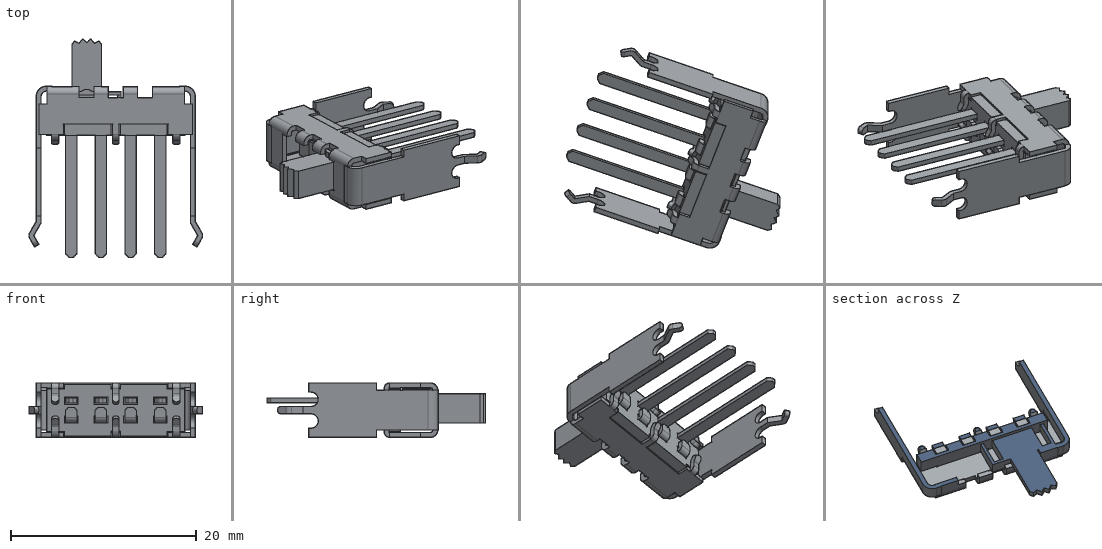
import math

import cadquery as cq


SHEET = 0.55
FRAME_HEIGHT = 5.89
FRAME_TOP = FRAME_HEIGHT / 2
COVER_UNDERSIDE = FRAME_TOP - SHEET
COVER_FRONT = -0.05
COVER_INNER_FRONT = COVER_FRONT - SHEET
COVER_BEND_RADIUS = 0.82
COVER_WIDTH = 14.86
COVER_REAR = -5.24
WING_WIDTH = 16.54
WING_FRONT = -1.91

TIP_ROUNDING = 0.49

NOTCH_WIDTH = 1.58
NOTCH_PITCH = 2 * NOTCH_WIDTH
NOTCH_DEPTH = 1.24
KNOB_CLEARANCE = 0.1

WINDOW_INNER_X = 0.33
WINDOW_OUTER_X = 5.65
WINDOW_FRONT = -4.09
PAD_INNER_X = 0.5
PAD_OUTER_X = 5.53
PAD_TOP = 2.76

ARM_SPAN = 17.18
ARM_BEND_RADIUS = 1.13
ARM_NECK_HEIGHT = 4.32
ARM_WIDE_START = -6.66
ARM_END = -13.98
ARM_NOTCH_DIAMETER = 1.52
ARM_NOTCH_DEPTH = 1.02

SPRING_SPAN = 18.74
SPRING_WIDTH = 0.82
SPRING_BEND_START = -14.6
SPRING_ANGLE = math.radians(30)
SPRING_BEND_RADIUS = 0.61
SPRING_RETURN_LENGTH = 1.42

TAB_CENTRE_WIDTH = 0.72
TAB_SIDE_WIDTH = 0.8
TAB_SIDE_X = 6.53
TAB_BEND_RADIUS = 0.6
TAB_KINK_Z = 1.69
TAB_FLARE_ANGLE = math.radians(30)
TAB_FLARE_LENGTH = 0.93
TAB_KINK_ROUNDING = 0.08

HOUSING_WIDTH = 14.92
HOUSING_HEIGHT = 4.6
HOUSING_FRONT = WINDOW_FRONT
HOUSING_REAR = -5.31
POCKET_WIDTH = 1.49
POCKET_HEIGHT = 0.78
POCKET_Z = 1.02
POCKET_DEPTH = 0.8

PIN_PITCH = 3.2
PIN_COUNT = 4
PIN_WIDTH = 1.25
PIN_BOTTOM = 0.79
PIN_TOP = 1.33
PIN_END = -18.48
PIN_CHAMFER = 0.42
PIN_TIP_FILLET = 0.1
TAIL_THICKNESS = 0.55
TAIL_BOTTOM = -1.38
TAIL_TOP = 0.26
TAIL_BEND_RADIUS = 0.6
TAIL_CHAMFER = 0.28

KNOB_X = -3.13
KNOB_Z = 0.2
KNOB_WIDTH = 3.2
KNOB_HEIGHT = 3.18
KNOB_TIP = 5.1
KNOB_SHOULDER = 4.5
TOOTH_OUTER_TIP_X = 1.31
TOOTH_OUTER_TIP_Y = 4.88
TOOTH_OUTER_ROOT_X = 0.84
TOOTH_OUTER_ROOT_Y = 4.62
TOOTH_TIP_X = 0.42
TOOTH_MIDDLE_ROOT_Y = 4.69
FLANGE_WIDTH = 7.44
FLANGE_REAR = -0.97
FLANGE_CLEARANCE = 0.03
FLANGE_TOP = COVER_UNDERSIDE - FLANGE_CLEARANCE
BODY_STEP = 0.05
SLIDER_BODY_WIDTH = 4.66
SLIDER_BODY_REAR = -3.85
SLIDER_LEG_WIDTH = 0.39
BUMP_WIDTH = 1.22
BUMP_FLAT = 0.45
BUMP_FRONT = -0.37


def block(x_min, x_max, y_min, y_max, z_min, z_max):
    """Axis-aligned box given by its limits."""
    size = (x_max - x_min, y_max - y_min, z_max - z_min)
    return cq.Workplane("XY").box(*size, centered=False).translate((x_min, y_min, z_min))


def wide_block(width, y_min, y_max, z_min, z_max):
    """Box centred on X = 0."""
    return block(-width / 2, width / 2, y_min, y_max, z_min, z_max)


def mirrored(body, plane):
    """Body together with its mirror image."""
    return body.union(body.mirror(plane))


def make_cover():
    """C-shaped cover: front plate bent into a top and a bottom plate."""
    outer = wide_block(COVER_WIDTH, COVER_REAR, COVER_FRONT, -FRAME_TOP, FRAME_TOP)
    outer = outer.edges("|X and >Y").fillet(COVER_BEND_RADIUS)
    inner = wide_block(COVER_WIDTH, COVER_REAR, COVER_INNER_FRONT, -COVER_UNDERSIDE, COVER_UNDERSIDE)
    inner = inner.edges("|X and >Y").fillet(COVER_BEND_RADIUS - SHEET)
    wing = wide_block(WING_WIDTH, COVER_REAR, WING_FRONT, COVER_UNDERSIDE, FRAME_TOP)
    return outer.cut(inner).union(mirrored(wing, "XY"))


def make_arm():
    """Right-hand arm: bent from the front plate, widened, and notched beside the spring leg."""
    outer_x = ARM_SPAN / 2
    neck_z = ARM_NECK_HEIGHT / 2
    corner_x = COVER_WIDTH / 2 - SHEET
    outer = block(corner_x, outer_x, ARM_WIDE_START, 0, -neck_z, neck_z)
    outer = outer.edges("|Z and >X and >Y").fillet(ARM_BEND_RADIUS)
    inner = block(corner_x, outer_x - SHEET, ARM_WIDE_START, -SHEET, -neck_z, neck_z)
    inner = inner.edges("|Z and >X and >Y").fillet(ARM_BEND_RADIUS - SHEET)
    plate = block(outer_x - SHEET, outer_x, ARM_END, ARM_WIDE_START, -FRAME_TOP, FRAME_TOP)

    notch_radius = ARM_NOTCH_DIAMETER / 2
    notch_z = SPRING_WIDTH / 2 + notch_radius
    notch_y = ARM_END + ARM_NOTCH_DEPTH - notch_radius
    notch = (
        cq.Workplane("YZ", origin=(corner_x, 0, 0))
        .center(notch_y, notch_z)
        .circle(notch_radius)
        .extrude(outer_x - corner_x)
    )
    notch = notch.union(
        block(corner_x, outer_x, ARM_END, notch_y, notch_z - notch_radius, notch_z + notch_radius)
    )
    return outer.cut(inner).union(plate).cut(mirrored(notch, "XY"))


def make_spring():
    """Right-hand spring leg: flares outward, turns back around a rounded apex, has a round tip."""
    sine = math.sin(SPRING_ANGLE)
    cosine = math.cos(SPRING_ANGLE)
    outer_x = ARM_SPAN / 2
    inner_x = outer_x - SHEET
    peak_x = SPRING_SPAN / 2
    vertex_x = peak_x + SPRING_BEND_RADIUS * (1 / cosine - 1)
    vertex_y = SPRING_BEND_START - (vertex_x - outer_x) / math.tan(SPRING_ANGLE)
    arc_x = peak_x - SPRING_BEND_RADIUS * (1 - cosine)
    arc_half = SPRING_BEND_RADIUS * sine
    tip_x = vertex_x - SPRING_RETURN_LENGTH * sine
    tip_y = vertex_y - SPRING_RETURN_LENGTH * cosine
    inner_bend_y = SPRING_BEND_START - SHEET * math.tan(SPRING_ANGLE / 2)
    leg = (
        cq.Workplane("XY", origin=(0, 0, -SPRING_WIDTH / 2))
        .moveTo(inner_x, ARM_END)
        .lineTo(outer_x, ARM_END)
        .lineTo(outer_x, SPRING_BEND_START)
        .lineTo(arc_x, vertex_y + arc_half)
        .threePointArc((peak_x, vertex_y), (arc_x, vertex_y - arc_half))
        .lineTo(tip_x, tip_y)
        .lineTo(tip_x - SHEET * cosine, tip_y + SHEET * sine)
        .lineTo(vertex_x - SHEET / cosine, vertex_y)
        .lineTo(inner_x, inner_bend_y)
        .close()
        .extrude(SPRING_WIDTH)
    )
    across_sheet = cq.selectors.ParallelDirSelector(cq.Vector(cosine, -sine, 0))
    return leg.edges(across_sheet).fillet(TIP_ROUNDING * SPRING_WIDTH)


def make_tab(x_centre, width):
    """Upper retaining tab: bends down behind the housing, then flares outward to a round tip."""
    sine = math.sin(TAB_FLARE_ANGLE)
    cosine = math.cos(TAB_FLARE_ANGLE)
    outer_y = COVER_REAR - TAB_BEND_RADIUS
    inner_y = outer_y + SHEET
    inner_radius = TAB_BEND_RADIUS - SHEET
    bend_z = FRAME_TOP - TAB_BEND_RADIUS
    half_root = math.sqrt(0.5)
    inner_kink_z = TAB_KINK_Z - SHEET * math.tan(TAB_FLARE_ANGLE / 2)
    tip_y = outer_y - TAB_FLARE_LENGTH * sine
    tip_z = TAB_KINK_Z - TAB_FLARE_LENGTH * cosine
    tab = (
        cq.Workplane("YZ", origin=(x_centre - width / 2, 0, 0))
        .moveTo(COVER_REAR, FRAME_TOP)
        .threePointArc(
            (COVER_REAR - TAB_BEND_RADIUS * half_root, bend_z + TAB_BEND_RADIUS * half_root),
            (outer_y, bend_z),
        )
        .lineTo(outer_y, TAB_KINK_Z + TAB_KINK_ROUNDING)
        .tangentArcPoint(
            (outer_y - TAB_KINK_ROUNDING * sine, TAB_KINK_Z - TAB_KINK_ROUNDING * cosine),
            relative=False,
        )
        .lineTo(tip_y, tip_z)
        .lineTo(tip_y + SHEET * cosine, tip_z - SHEET * sine)
        .lineTo(inner_y, inner_kink_z)
        .lineTo(inner_y, bend_z)
        .threePointArc(
            (COVER_REAR - inner_radius * half_root, bend_z + inner_radius * half_root),
            (COVER_REAR, COVER_UNDERSIDE),
        )
        .close()
        .extrude(width)
    )
    across_sheet = cq.selectors.ParallelDirSelector(cq.Vector(0, cosine, -sine))
    return tab.edges(across_sheet).fillet(TIP_ROUNDING * width)


def make_front_opening():
    """Knob slot through the front plate and the notches through both front bends."""
    slot_width = 2 * abs(KNOB_X) + KNOB_WIDTH + 2 * KNOB_CLEARANCE
    slot_half_height = KNOB_HEIGHT / 2 + KNOB_CLEARANCE
    opening = wide_block(
        slot_width, COVER_INNER_FRONT, COVER_FRONT, KNOB_Z - slot_half_height, KNOB_Z + slot_half_height
    )
    for index in (-1, 0, 1):
        notch = wide_block(NOTCH_WIDTH, -NOTCH_DEPTH, COVER_FRONT, -FRAME_TOP, FRAME_TOP)
        opening = opening.union(notch.translate((index * NOTCH_PITCH, 0, 0)))
    return opening


def make_frame():
    """Complete sheet-metal frame."""
    frame = make_cover()
    window = block(
        WINDOW_INNER_X, WINDOW_OUTER_X, COVER_REAR, WINDOW_FRONT, -FRAME_TOP, FRAME_TOP
    )
    frame = frame.cut(mirrored(window, "YZ")).cut(make_front_opening())
    frame = frame.union(mirrored(make_arm().union(make_spring()), "YZ"))
    tab_places = ((-TAB_SIDE_X, TAB_SIDE_WIDTH), (0, TAB_CENTRE_WIDTH), (TAB_SIDE_X, TAB_SIDE_WIDTH))
    for x_centre, width in tab_places:
        frame = frame.union(mirrored(make_tab(x_centre, width), "XY"))
    return frame


def pin_positions():
    """X places of the pins, evenly spread about the middle."""
    return [(index - (PIN_COUNT - 1) / 2) * PIN_PITCH for index in range(PIN_COUNT)]


def make_housing():
    """Moulded rear block with raised pads and a pocket around each pin and tail."""
    half_height = HOUSING_HEIGHT / 2
    housing = wide_block(HOUSING_WIDTH, HOUSING_REAR, HOUSING_FRONT, -half_height, half_height)
    pads = block(PAD_INNER_X, PAD_OUTER_X, HOUSING_REAR, HOUSING_FRONT, -PAD_TOP, PAD_TOP)
    housing = housing.union(mirrored(pads, "YZ"))
    pocket = wide_block(
        POCKET_WIDTH,
        HOUSING_REAR,
        HOUSING_REAR + POCKET_DEPTH,
        POCKET_Z - POCKET_HEIGHT / 2,
        POCKET_Z + POCKET_HEIGHT / 2,
    )
    pocket_pair = mirrored(pocket, "XY")
    for x in pin_positions():
        housing = housing.cut(pocket_pair.translate((x, 0, 0)))
    return housing


def make_pin():
    """Long flat pin with a chamfered, softened tip, rooted in the housing."""
    pin = wide_block(PIN_WIDTH, PIN_END, HOUSING_FRONT, PIN_BOTTOM, PIN_TOP)
    pin = pin.edges("|Z and <Y").chamfer(PIN_CHAMFER)
    return pin.edges("|Z").edges("not >Y").fillet(PIN_TIP_FILLET)


def make_tail():
    """Contact tail that leaves the lower pocket and bends up along the housing."""
    outer_y = HOUSING_REAR - TAIL_THICKNESS
    shelf = wide_block(
        PIN_WIDTH, outer_y, HOUSING_FRONT, TAIL_BOTTOM, TAIL_BOTTOM + TAIL_THICKNESS
    )
    upright = wide_block(PIN_WIDTH, outer_y, HOUSING_REAR, TAIL_BOTTOM, TAIL_TOP)
    upright = upright.edges("|Y and >Z").chamfer(TAIL_CHAMFER)
    return shelf.union(upright).edges("|X and <Y and <Z").fillet(TAIL_BEND_RADIUS)


def make_knob():
    """Square knob with a serrated tip, centred on X = 0 and Z = 0."""
    right_side = [
        (TOOTH_TIP_X, KNOB_TIP),
        (TOOTH_OUTER_ROOT_X, TOOTH_OUTER_ROOT_Y),
        (TOOTH_OUTER_TIP_X, TOOTH_OUTER_TIP_Y),
        (KNOB_WIDTH / 2, KNOB_SHOULDER),
        (KNOB_WIDTH / 2, FLANGE_REAR),
    ]
    left_side = [(-x, y) for x, y in reversed(right_side)]
    outline = [(0, TOOTH_MIDDLE_ROOT_Y)] + right_side + left_side
    return (
        cq.Workplane("XY", origin=(0, 0, -KNOB_HEIGHT / 2))
        .polyline(outline)
        .close()
        .extrude(KNOB_HEIGHT)
    )


def make_bump():
    """Tapered detent bump on the flange front, above the knob."""
    knob_top = KNOB_HEIGHT / 2
    outline = [
        (-BUMP_WIDTH / 2, COVER_INNER_FRONT),
        (-BUMP_FLAT / 2, BUMP_FRONT),
        (BUMP_FLAT / 2, BUMP_FRONT),
        (BUMP_WIDTH / 2, COVER_INNER_FRONT),
    ]
    return (
        cq.Workplane("XY", origin=(0, 0, knob_top))
        .polyline(outline)
        .close()
        .extrude(FLANGE_TOP - KNOB_Z - knob_top)
    )


def make_slider():
    """Knob, flange behind the front plate, carrier body and two end legs."""
    flange_half = FLANGE_TOP - KNOB_Z
    body_half = flange_half - BODY_STEP
    flange = wide_block(FLANGE_WIDTH, FLANGE_REAR, COVER_INNER_FRONT, -flange_half, flange_half)
    body = wide_block(SLIDER_BODY_WIDTH, SLIDER_BODY_REAR, FLANGE_REAR, -body_half, body_half)
    leg = block(
        FLANGE_WIDTH / 2 - SLIDER_LEG_WIDTH,
        FLANGE_WIDTH / 2,
        SLIDER_BODY_REAR,
        FLANGE_REAR,
        -body_half,
        body_half,
    )
    slider = make_knob().union(make_bump()).union(flange).union(body).union(mirrored(leg, "YZ"))
    return slider.translate((KNOB_X, 0, KNOB_Z))


result = make_frame().union(make_housing()).union(make_slider())
for pin_x in pin_positions():
    result = result.union(make_pin().union(make_tail()).translate((pin_x, 0, 0)))